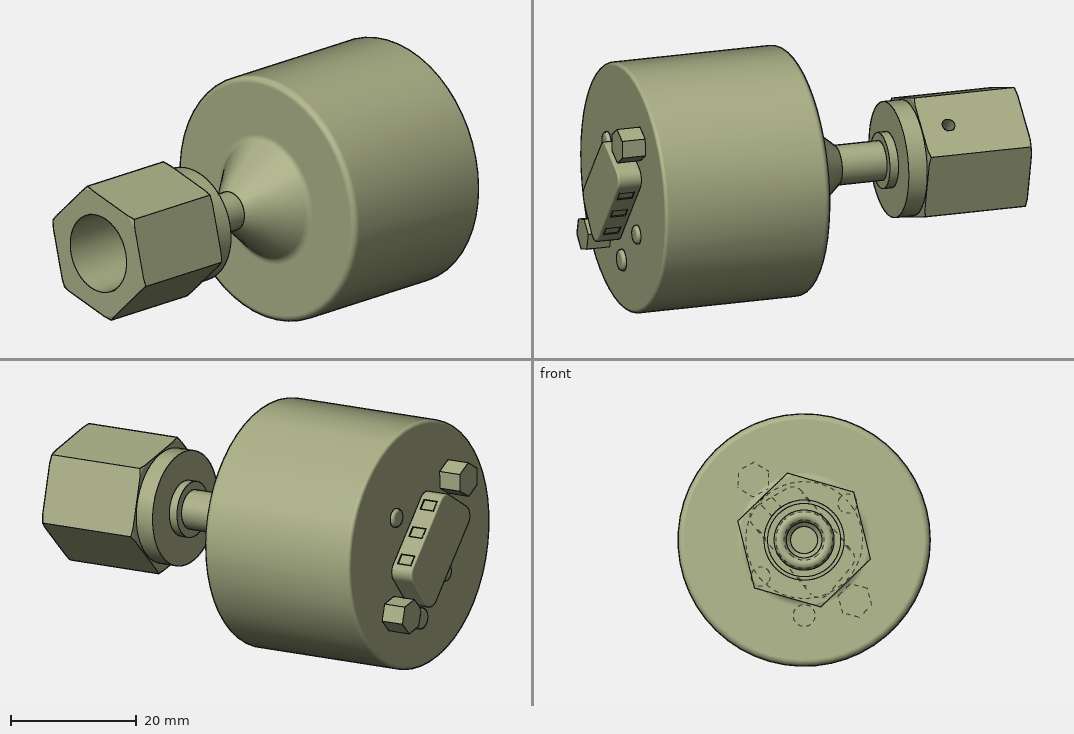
import cadquery as cq
import math


total_length = 69.45
nut_length = 17.35
collar_end = 20.5
flange_end = 21.95
tube_end = 29.5
body_front = 37.5
body_back = 65.55

body_diameter = 40.2
body_radius = body_diameter / 2
body_front_fillet = 1.0
body_back_fillet = 0.55
cone_base_radius = 9.9
cone_base_fillet = 1.5
tube_radius = 3.2
flange_radius = 4.5
collar_radius = 9.3

nut_width = 19.0
nut_corner_angle = 44.0
nut_chamfer_radius = 10.35
nut_chamfer_depth = 0.2
nut_bore_radius = 6.4
vent_radius = 1.05
vent_y = 12.8
vent_angle = nut_corner_angle + 90

gland_radius = 5.8
gland_face = 13.2
bead_center_radius = 3.8
bead_radius = 1.0
passage_radius = 2.15
passage_chamfer = bead_center_radius - bead_radius - passage_radius

connector_tilt = 50.0
shell_half_thickness = 4.7
shell_half_width = 8.6
shell_side_slope = 10.0
shell_corner_radius = 1.95
shell_rim_fillet = 0.3
recess_width = 1.75
recess_height = 2.5
recess_depth = 0.2
recess_pitch = 5.0
recess_y = 67.5

post_width = 4.8
post_offset = 12.6
post_corner_angles = {-1: 28.0, 1: 45.0}

screw_head_height = 0.6
screw_head_fillet = 0.55
flank_screw_radius = 1.5
flank_screw_offset = 9.0
lower_screw_radius = 1.75
lower_screw_offset = 12.0


def section_plane(y):
    """XZ sketch plane at the given Y; a negative extrusion grows toward +Y."""
    return cq.Workplane("XZ", origin=(0, y, 0))


def disc(radius, y_start, y_end):
    return section_plane(y_start).circle(radius).extrude(y_start - y_end)


def hexagon_prism(width, corner_angle, y_start, y_end, x=0, z=0):
    corner_radius = width / math.sqrt(3)
    corners = []
    for side in range(6):
        angle = math.radians(corner_angle + 60 * side)
        corners.append((x + corner_radius * math.cos(angle), z + corner_radius * math.sin(angle)))
    return section_plane(y_start).polyline(corners).close().extrude(y_start - y_end)


def revolve_about_y(points):
    """Turn a closed (radius, y) outline about the Y axis."""
    return cq.Workplane("XY").polyline(points).close().revolve(360, (0, 0, 0), (0, 1, 0))


def make_body():
    drum = disc(body_radius, body_front, body_back)
    drum = drum.faces("<Y").edges().fillet(body_front_fillet)
    drum = drum.faces(">Y").edges().fillet(body_back_fillet)
    cone = revolve_about_y([
        (0, tube_end),
        (tube_radius, tube_end),
        (cone_base_radius, body_front),
        (0, body_front),
    ])
    body = drum.union(cone)
    front_face = body.faces(cq.NearestToPointSelector((0, body_front, 0)))
    joint = front_face.edges(cq.selectors.RadiusNthSelector(0))
    return joint.fillet(cone_base_fillet)


def make_nut():
    nut = hexagon_prism(nut_width, nut_corner_angle, 0, nut_length)
    outer_radius = nut_width / math.sqrt(3)
    chamfer_slope = nut_chamfer_depth / (outer_radius - nut_chamfer_radius)
    envelope_radius = nut_width
    envelope_depth = chamfer_slope * (envelope_radius - nut_chamfer_radius)
    envelope = revolve_about_y([
        (0, 0),
        (nut_chamfer_radius, 0),
        (envelope_radius, envelope_depth),
        (envelope_radius, nut_length - envelope_depth),
        (nut_chamfer_radius, nut_length),
        (0, nut_length),
    ])
    nut = nut.intersect(envelope).cut(disc(nut_bore_radius, 0, nut_length))

    angle = math.radians(vent_angle)
    outward = cq.Vector(math.cos(angle), 0, math.sin(angle))
    inner_end = (nut_bore_radius + gland_radius) / 2
    vent_start = outward * inner_end + cq.Vector(0, vent_y, 0)
    vent = cq.Solid.makeCylinder(vent_radius, nut_width / 2, vent_start, outward)
    return nut.cut(cq.Workplane(vent))


def make_gland():
    gland = disc(gland_radius, gland_face, nut_length)
    gland = gland.union(disc(collar_radius, nut_length, collar_end))
    gland = gland.union(disc(flange_radius, collar_end, flange_end))
    gland = gland.union(disc(tube_radius, flange_end, tube_end))
    bead = (
        cq.Workplane("XY")
        .center(bead_center_radius, gland_face)
        .circle(bead_radius)
        .revolve(360, (-bead_center_radius, 0, 0), (-bead_center_radius, 1, 0))
    )
    return gland.union(bead)


def make_passage():
    """Blind flow passage from the gland face to the body, with a chamfered mouth."""
    return revolve_about_y([
        (0, gland_face),
        (passage_radius + passage_chamfer, gland_face),
        (passage_radius, gland_face + passage_chamfer),
        (passage_radius, body_front),
        (0, body_front),
    ])


def make_shell():
    """Rounded D outline, narrow side toward +Z, with recesses on both long sides."""
    taper = shell_half_thickness * math.tan(math.radians(shell_side_slope))
    narrow = shell_half_width - taper
    wide = shell_half_width + taper
    outline = [
        (-wide, -shell_half_thickness),
        (wide, -shell_half_thickness),
        (narrow, shell_half_thickness),
        (-narrow, shell_half_thickness),
    ]
    shell = section_plane(body_back).polyline(outline).close().extrude(body_back - total_length)
    shell = shell.edges("|Y").fillet(shell_corner_radius)
    shell = shell.faces(">Y").edges().fillet(shell_rim_fillet)
    for side in (-1, 1):
        for column in (-1, 0, 1):
            recess = cq.Workplane("XY").box(recess_width, recess_height, 2 * recess_depth)
            place = (column * recess_pitch, recess_y, side * shell_half_thickness)
            shell = shell.cut(recess.translate(place))
    return shell.rotate((0, 0, 0), (0, 1, 0), connector_tilt)


def make_jack_posts():
    posts = cq.Workplane("XY")
    tilt = math.radians(connector_tilt)
    for end, corner_angle in post_corner_angles.items():
        x = end * post_offset * math.cos(tilt)
        z = -end * post_offset * math.sin(tilt)
        posts = posts.add(hexagon_prism(post_width, corner_angle, body_back, total_length, x, z))
    return posts.combine()


def make_screw_head(radius, offset, angle_degrees):
    angle = math.radians(angle_degrees)
    head = disc(radius, body_back, body_back + screw_head_height)
    head = head.faces(">Y").edges().fillet(screw_head_fillet)
    return head.translate((offset * math.cos(angle), 0, offset * math.sin(angle)))


result = make_body().union(make_gland()).union(make_nut()).cut(make_passage())
result = result.union(make_shell()).union(make_jack_posts())

flank_angle = 90 - connector_tilt
for screw_angle in (flank_angle, flank_angle + 180):
    result = result.union(make_screw_head(flank_screw_radius, flank_screw_offset, screw_angle))
result = result.union(make_screw_head(lower_screw_radius, lower_screw_offset, -90))